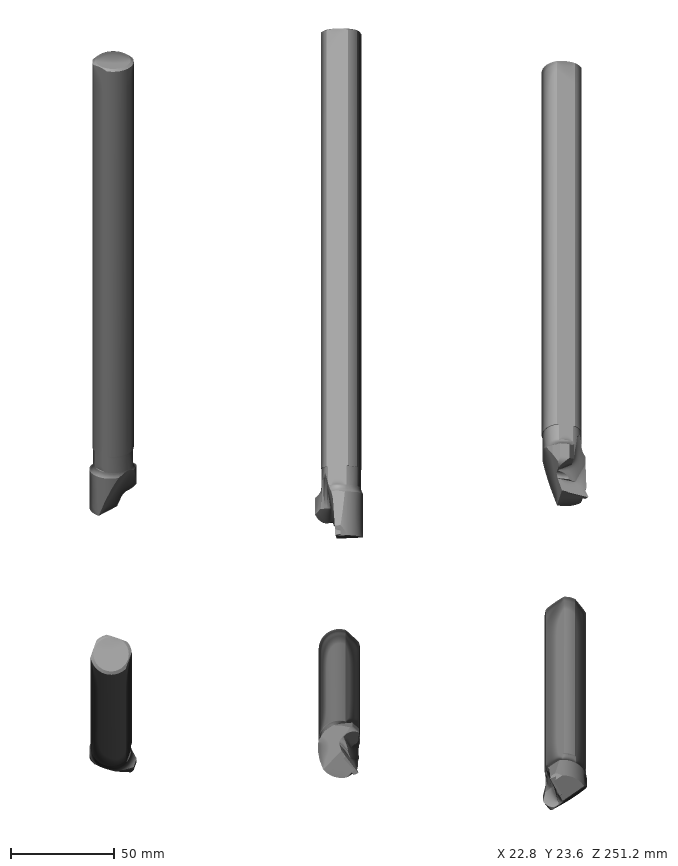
import cadquery as cq
import math


total_length = 251.2
shank_radius = 10.0
neck_step = 0.38
neck_radius = shank_radius - neck_step
flat_x = 8.5
flat_y = 9.0
neck_top = 35.0
end_bevel_width = 1.5
end_bevel_height = 0.8

head_arc_radius = 11.8
seam_x = -0.5
heel_radius = 10.8
heel_end_angle = 36.0
hump_base = (6.5, 9.0)
hump_right = 3.5
hump_left = -1.0
hump_height = 12.8
hump_foot = (-4.0, 9.0)
flank_end_y = 3.8

collar_top = 25.6
flare_radius = 4.8

flank_bottom = (-11.8, 5.0)
flank_top_x = -10.8
corner_relief = (-10.3, 0.3)
bottom_heel = (0.63, 0.88)
heel_top = (8.5, 22.0)

pocket_top = 33.5
pocket_runout = (-5.8, 29.6)
pocket_knee = (-3.8, 15.0)
pocket_foot = (3.8, 9.0)
floor_point = (-8.8, 3.5, 22.5)
floor_about_z = 25.0
floor_about_x = 12.0
hump_bottom = 9.3
hump_corner_radius = 4.8
throat_y = 3.3
throat_radius = 2.3
reach = 20.0

tip_x = -12.8
nose_radius = 0.3
nose_centre = (tip_x + nose_radius, 0.0, nose_radius)
insert_edge = 11.0
insert_thickness = 2.5
insert_relief = 7.0
edge_angle = 3.0
rake_about_z = 9.0
rake_about_x = 4.0

coolant_diameter = 2.3
coolant_position = (-5.0, 6.5)
coolant_bottom = 12.5
coolant_length = 30.2


def flatted_bar(radius, bottom, top):
    """Round bar along Z with its -X, -Y and +Y flats."""
    bar = cq.Workplane("XY").workplane(offset=bottom).circle(radius).extrude(top - bottom)
    flats = cq.Workplane("XY").box(
        flat_x + radius, 2 * flat_y, top - bottom, centered=(False, True, False)
    ).translate((-flat_x, 0, bottom))
    return bar.intersect(flats)


def make_shank():
    """Shank with a bevelled end, and the thinner neck below it."""
    bevel_base = total_length - end_bevel_height
    end_cone = (
        cq.Workplane("XZ")
        .polyline([
            (0, neck_top),
            (shank_radius, neck_top),
            (shank_radius, bevel_base),
            (shank_radius - end_bevel_width, total_length),
            (0, total_length),
        ])
        .close()
        .revolve(360, (0, 0), (0, 1))
    )
    shank = flatted_bar(shank_radius, neck_top, total_length).intersect(end_cone)
    return shank.union(flatted_bar(neck_radius, 0, neck_top))


def head_outline():
    """Plan outline of the head and its +Y hump."""
    def heel_point(degrees):
        angle = math.radians(degrees)
        return (seam_x + heel_radius * math.cos(angle), heel_radius * math.sin(angle))

    arc_centre_y = head_arc_radius - heel_radius
    flank_x = flank_bottom[0]
    flank_angle = math.acos((seam_x - flank_x) / head_arc_radius)
    mid_angle = (flank_angle + math.pi / 2) / 2

    def cutting_point(angle):
        return (
            seam_x - head_arc_radius * math.cos(angle),
            arc_centre_y - head_arc_radius * math.sin(angle),
        )

    return (
        cq.Workplane("XY")
        .moveTo(seam_x, -heel_radius)
        .threePointArc(heel_point((heel_end_angle - 90) / 2), heel_point(heel_end_angle))
        .lineTo(*hump_base)
        .lineTo(hump_right, hump_height)
        .lineTo(hump_left, hump_height)
        .lineTo(*hump_foot)
        .lineTo(flank_x, flank_end_y)
        .lineTo(*cutting_point(flank_angle))
        .threePointArc(cutting_point(mid_angle), (seam_x, -heel_radius))
        .close()
    )


def make_head():
    """Head whose top blends into the neck through a flare turned about the bar axis."""
    flare_centre_x = neck_radius + flare_radius
    flare_mid_shift = flare_radius * math.sqrt(0.5)
    turned = (
        cq.Workplane("XZ")
        .moveTo(0, 0)
        .lineTo(flare_centre_x, 0)
        .lineTo(flare_centre_x, collar_top - flare_radius)
        .threePointArc(
            (flare_centre_x - flare_mid_shift, collar_top - flare_mid_shift),
            (neck_radius, collar_top),
        )
        .lineTo(0, collar_top)
        .close()
        .revolve(360, (0, 0), (0, 1))
    )
    return head_outline().extrude(collar_top).intersect(turned)


def side_silhouette():
    """Prism along Y that bounds the bar with the slanted heel and the flank."""
    heel_slope = (heel_top[1] - bottom_heel[1]) / (heel_top[0] - bottom_heel[0])
    heel_exit_z = heel_top[1] + (reach - heel_top[0]) * heel_slope
    return (
        cq.Workplane("XZ")
        .polyline([
            corner_relief,
            bottom_heel,
            (reach, heel_exit_z),
            (reach, total_length),
            (flank_top_x, total_length),
            (flank_top_x, collar_top),
            flank_bottom,
        ])
        .close()
        .extrude(reach, both=True)
    )


def tilt(body, about_z, about_x, origin):
    """Tilt a body about its origin, then move that origin to a place on the head."""
    return (
        body
        .rotate((0, 0, 0), (0, 0, 1), about_z)
        .rotate((0, 0, 0), (1, 0, 0), -about_x)
        .translate(origin)
    )


def make_insert():
    """Triangular insert with relieved sides and rounded corners."""
    top_diameter = 2 * insert_edge / math.sqrt(3)
    inset = insert_thickness * math.tan(math.radians(insert_relief))
    corner_turn = 150
    nose_reach = top_diameter / 2 - 2 * nose_radius
    insert = (
        cq.Workplane("XZ")
        .polygon(3, top_diameter)
        .workplane(offset=insert_thickness)
        .polygon(3, top_diameter - 4 * inset)
        .loft()
        .edges("not(#Y)")
        .fillet(nose_radius)
        .translate((-nose_reach, 0, 0))
        .rotate((0, 0, 0), (0, 1, 0), corner_turn - edge_angle)
    )
    return tilt(insert, rake_about_z, rake_about_x, nose_centre)


def chip_pocket():
    """Space above the rake plane: beside the hump and below it."""
    half_space = cq.Workplane("XY").box(
        4 * reach, 2 * reach, 4 * reach, centered=(True, False, True)
    )
    above_rake = tilt(half_space, rake_about_z, rake_about_x, nose_centre)
    above_floor = tilt(half_space, floor_about_z, floor_about_x, floor_point)
    beside_hump = (
        cq.Workplane("XZ")
        .polyline([
            (-reach, pocket_top),
            (-flat_x, pocket_top),
            pocket_runout,
            pocket_knee,
            pocket_foot,
            (pocket_foot[0], 0),
            (-reach, 0),
        ])
        .close()
        .extrude(reach, both=True)
        .intersect(above_floor)
    )
    corner_shift = hump_corner_radius * (1 - math.sqrt(0.5))
    throat_shift = throat_radius * (1 - math.sqrt(0.5))
    below_hump = (
        cq.Workplane("YZ")
        .moveTo(-reach, -reach)
        .lineTo(reach, -reach)
        .lineTo(reach, hump_bottom + hump_corner_radius)
        .lineTo(hump_height, hump_bottom + hump_corner_radius)
        .threePointArc(
            (hump_height - corner_shift, hump_bottom + corner_shift),
            (hump_height - hump_corner_radius, hump_bottom),
        )
        .lineTo(throat_y + throat_radius, hump_bottom)
        .threePointArc(
            (throat_y + throat_shift, hump_bottom - throat_shift),
            (throat_y, hump_bottom - throat_radius),
        )
        .lineTo(-reach, hump_bottom - throat_radius)
        .close()
        .extrude(reach, both=True)
    )
    return beside_hump.union(below_hump).intersect(above_rake)


def coolant_hole():
    """Blind hole along Z that opens through the pocket wall."""
    return (
        cq.Workplane("XY").workplane(offset=coolant_bottom)
        .center(*coolant_position)
        .circle(coolant_diameter / 2)
        .extrude(coolant_length)
    )


insert = make_insert()
bar = (
    make_shank()
    .union(make_head())
    .intersect(side_silhouette())
    .cut(chip_pocket())
    .cut(coolant_hole())
    .cut(insert)
)

result = cq.Compound.makeCompound([bar.val(), insert.val()])